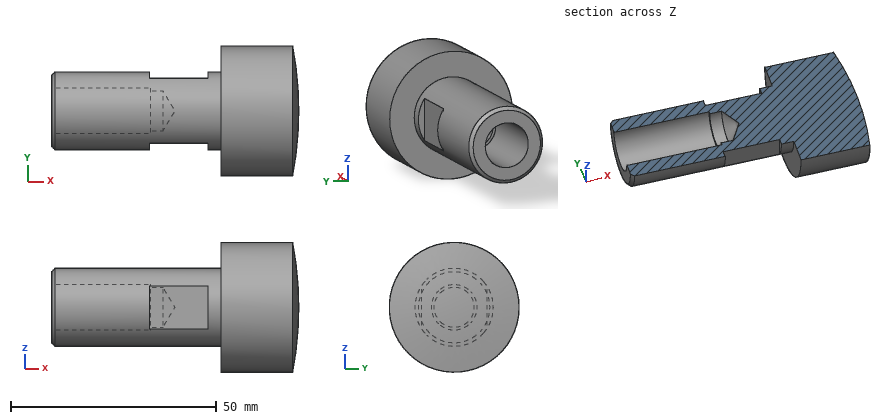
import cadquery as cq
import math

total_length = 60.3
head_diameter = 31.75
shaft_diameter = 19.05
shaft_length = 41.25
dome_height = 1.5
shaft_chamfer = 0.85

entry_diameter = 11.1
entry_depth = 24.15
pilot_diameter = 9.8
pilot_depth = 27.15
drill_tip_angle = 118.0

flat_start = 23.9
flat_length = 14.25
across_flats = 15.9

x_start = -total_length / 2
x_end = total_length / 2


def make_body():
    """Revolve the shaft and the domed head about the X axis."""
    shaft_radius = shaft_diameter / 2
    head_radius = head_diameter / 2
    head_start = x_start + shaft_length
    dome_start = x_end - dome_height
    dome_radius = (head_radius**2 + dome_height**2) / (2 * dome_height)
    dome_center = x_end - dome_radius
    half_angle = math.asin(head_radius / dome_radius) / 2
    dome_middle = (
        dome_center + dome_radius * math.cos(half_angle),
        dome_radius * math.sin(half_angle),
    )
    return (
        cq.Workplane("XY")
        .moveTo(x_start, 0)
        .lineTo(x_start, shaft_radius - shaft_chamfer)
        .lineTo(x_start + shaft_chamfer, shaft_radius)
        .lineTo(head_start, shaft_radius)
        .lineTo(head_start, head_radius)
        .lineTo(dome_start, head_radius)
        .threePointArc(dome_middle, (x_end, 0))
        .close()
        .revolve(360, (0, 0), (1, 0))
    )


def make_hole():
    """Revolve the stepped blind hole with its drill tip."""
    entry_radius = entry_diameter / 2
    pilot_radius = pilot_diameter / 2
    tip_length = pilot_radius / math.tan(math.radians(drill_tip_angle / 2))
    return (
        cq.Workplane("XY")
        .moveTo(x_start, 0)
        .lineTo(x_start, entry_radius)
        .lineTo(x_start + entry_depth, entry_radius)
        .lineTo(x_start + entry_depth, pilot_radius)
        .lineTo(x_start + pilot_depth, pilot_radius)
        .lineTo(x_start + pilot_depth + tip_length, 0)
        .close()
        .revolve(360, (0, 0), (1, 0))
    )


def make_flat_cutter(side):
    """Block that removes one wrench flat on the given Y side (+1 or -1)."""
    cutter_depth = (shaft_diameter - across_flats) / 2
    flat_middle = x_start + flat_start + flat_length / 2
    cutter_middle = side * (across_flats + cutter_depth) / 2
    return (
        cq.Workplane("XY")
        .box(flat_length, cutter_depth, shaft_diameter)
        .translate((flat_middle, cutter_middle, 0))
    )


result = make_body().cut(make_hole())
for side in (1, -1):
    result = result.cut(make_flat_cutter(side))